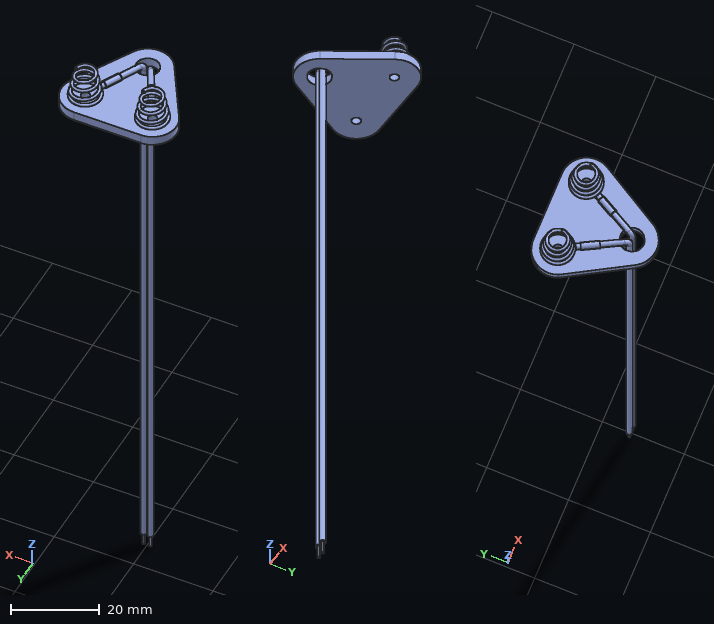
import cadquery as cq
import math

total_height = 156.5

corner_spacing = 16.9
corner_diameter = 12.0
plate_thickness = 2.5
wire_hole_diameter = 5.6
spring_hole_diameter = 2.2

spring_height = 7.7
spring_wire_diameter = 0.8
spring_base_diameter = 8.1
spring_top_diameter = 5.5
spring_turns = 4.0
base_closing_turns = 1.25
top_closing_turns = 0.75
points_per_turn = 16

wire_diameter = 1.49
wire_spacing = 1.7
wire_setback = 0.3
wire_bend_radius = 1.1
wire_axis_height = 0.5
core_diameter = 0.6
bare_length = 3.3

sleeve_wall = 0.2
sleeve_length = 4.4
sleeve_spring_gap = 1.1

corner_radius = corner_diameter / 2
triangle_height = corner_spacing * math.sqrt(3) / 2
front_corner = (0, -triangle_height)
rear_corners = [(-corner_spacing / 2, 0), (corner_spacing / 2, 0)]
spring_base_radius = spring_base_diameter / 2
sleeve_diameter = wire_diameter + 2 * sleeve_wall
tip_level = spring_height - total_height
insulation_end_level = tip_level + bare_length


def make_plate(wires, sleeves):
    hull = cq.Workplane("XY").polyline([*rear_corners, front_corner]).close()
    outline = hull.offset2D(corner_radius, "arc")
    plate = outline.extrude(-plate_thickness)
    wire_hole = (
        cq.Workplane("XY").center(*front_corner)
        .circle(wire_hole_diameter / 2).extrude(-plate_thickness)
    )
    spring_holes = (
        cq.Workplane("XY").pushPoints(rear_corners)
        .circle(spring_hole_diameter / 2).extrude(-plate_thickness)
    )
    plate = plate.cut(wire_hole).cut(spring_holes)
    for body in [*wires, *sleeves]:
        plate = plate.cut(body)
    return plate


def spring_rise(turn):
    """Share of the full rise reached after a number of turns; the pitch fades to zero at both ends."""
    full_pitch_end = spring_turns - top_closing_turns
    whole = spring_turns - (base_closing_turns + top_closing_turns) / 2
    if turn < base_closing_turns:
        risen = turn**2 / (2 * base_closing_turns)
    elif turn < full_pitch_end:
        risen = turn - base_closing_turns / 2
    else:
        risen = whole - (spring_turns - turn) ** 2 / (2 * top_closing_turns)
    return risen / whole


def spring_point(turn):
    """Point on the spring's wire axis; the coil radius shrinks evenly with height."""
    share = spring_rise(turn)
    taper = (spring_base_diameter - spring_top_diameter) / 2
    radius = (spring_base_diameter - spring_wire_diameter) / 2 - taper * share
    angle = 2 * math.pi * turn
    height = spring_wire_diameter / 2 + (spring_height - spring_wire_diameter) * share
    return cq.Vector(radius * math.cos(angle), radius * math.sin(angle), height)


def make_spring(corner):
    steps = round(spring_turns * points_per_turn)
    points = [spring_point(spring_turns * step / steps) for step in range(steps + 1)]
    axis = cq.Workplane("XY").spline(points)
    section = cq.Workplane("XZ", origin=points[0].toTuple()).circle(spring_wire_diameter / 2)
    spring = section.sweep(axis, isFrenet=True)
    return spring.translate((*corner, 0))


def wire_plane(corner):
    """Upright plane through a wire: origin above its drop, local x toward its spring, local y up."""
    drop_x = math.copysign(wire_spacing / 2, corner[0])
    drop = cq.Vector(drop_x, front_corner[1] + wire_setback, 0)
    toward_spring = cq.Vector(*corner, 0) - drop
    side = toward_spring.cross(cq.Vector(0, 0, 1))
    return cq.Plane(origin=drop, xDir=toward_spring, normal=side), toward_spring.Length


def make_wire(corner):
    plane, spring_distance = wire_plane(corner)
    bend = wire_bend_radius
    bend_middle = bend * (1 - math.sqrt(0.5))
    path = (
        cq.Workplane(plane)
        .moveTo(0, insulation_end_level)
        .lineTo(0, wire_axis_height - bend)
        .threePointArc((bend_middle, wire_axis_height - bend_middle), (bend, wire_axis_height))
        .lineTo(spring_distance - spring_base_radius, wire_axis_height)
    )
    drop = plane.origin
    insulation = (
        cq.Workplane("XY", origin=(drop.x, drop.y, insulation_end_level))
        .circle(wire_diameter / 2).sweep(path)
    )
    bare_tip = (
        cq.Workplane("XY", origin=(drop.x, drop.y, tip_level))
        .circle(core_diameter / 2).extrude(bare_length)
    )
    return insulation.union(bare_tip)


def make_sleeve(corner):
    plane, spring_distance = wire_plane(corner)
    spring_end = spring_distance - spring_base_radius - sleeve_spring_gap
    start = plane.toWorldCoords((spring_end, wire_axis_height, 0))
    along_wire = cq.Plane(origin=start, xDir=(0, 0, 1), normal=plane.xDir)
    ring = cq.Workplane(along_wire).circle(sleeve_diameter / 2).circle(wire_diameter / 2)
    return ring.extrude(-sleeve_length)


springs = [make_spring(corner) for corner in rear_corners]
wires = [make_wire(corner) for corner in rear_corners]
sleeves = [make_sleeve(corner) for corner in rear_corners]
plate = make_plate(wires, sleeves)

bodies = [plate, *springs, *wires, *sleeves]
result = cq.Compound.makeCompound([body.val() for body in bodies])